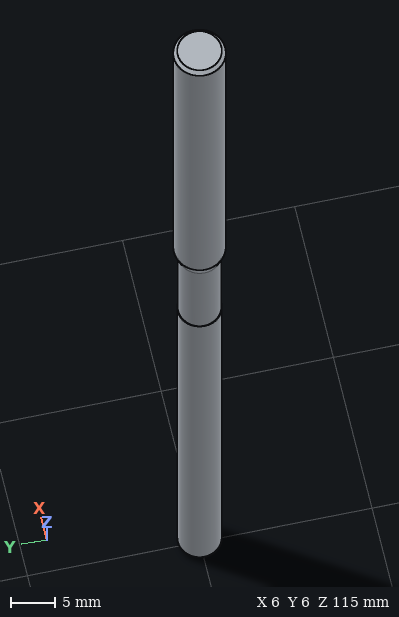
import cadquery as cq
import math

total_length = 115.0

shank_diameter = 6.0
shank_length = 46.0
shank_chamfer = 0.5
neck_diameter = 5.0
shoulder_length = 1.6

cutter_diameter = 5.1
cutter_length = 55.0
point_angle = 140.0

shank_radius = shank_diameter / 2
neck_radius = neck_diameter / 2
cutter_radius = cutter_diameter / 2
shank_bottom = total_length - shank_length
neck_top = shank_bottom - shoulder_length
point_height = cutter_radius / math.tan(math.radians(point_angle / 2))


def revolve_profile(points):
    """Revolve a closed half profile of (radius, height) points about Z."""
    return cq.Workplane("XZ").polyline(points).close().revolve(360, (0, 0, 0), (0, 1, 0))


def make_shank():
    """Shank with a chamfered top end, narrowing through a cone to the neck."""
    return revolve_profile([
        (0, cutter_length),
        (neck_radius, cutter_length),
        (neck_radius, neck_top),
        (shank_radius, shank_bottom),
        (shank_radius, total_length - shank_chamfer),
        (shank_radius - shank_chamfer, total_length),
        (0, total_length),
    ])


def make_cutter():
    """Cutting cylinder that meets the neck face and ends in a point."""
    return revolve_profile([
        (0, 0),
        (cutter_radius, point_height),
        (cutter_radius, cutter_length),
        (0, cutter_length),
    ])


shank = make_shank()
cutter = make_cutter()

result = cq.Compound.makeCompound([shank.val(), cutter.val()])